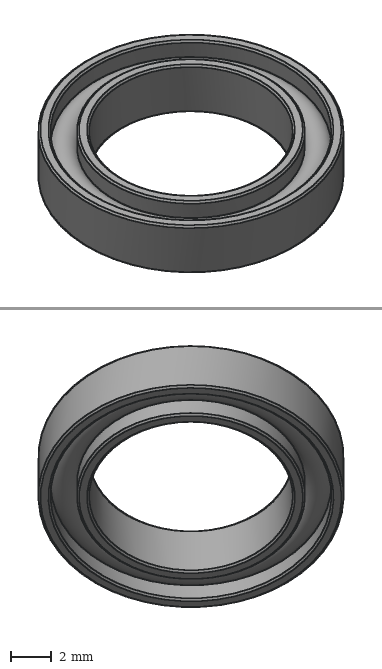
import cadquery as cq

outer_diameter = 15.0
bore_diameter = 10.0
width = 3.0

race_wall = 0.6
rim_chamfer = 0.1

outer_race_inner_radius = outer_diameter / 2 - race_wall
inner_race_outer_radius = bore_diameter / 2 + race_wall
pitch_radius = (outer_race_inner_radius + inner_race_outer_radius) / 2
torus_radius = 0.8


def race(inner_radius, outer_radius):
    """Plain ring with all four circular edges chamfered."""
    ring = cq.Workplane("XY").circle(outer_radius).circle(inner_radius).extrude(width)
    return ring.faces("|Z").edges().chamfer(rim_chamfer)


def rolling_ring():
    """Torus centred at mid width, sunk into the race walls so the part is one solid."""
    profile = cq.Workplane("XZ").center(pitch_radius, width / 2).circle(torus_radius)
    return profile.revolve(360, (-pitch_radius, 0), (-pitch_radius, 1))


outer_race = race(outer_race_inner_radius, outer_diameter / 2)
inner_race = race(bore_diameter / 2, inner_race_outer_radius)

result = outer_race.union(inner_race).union(rolling_ring())